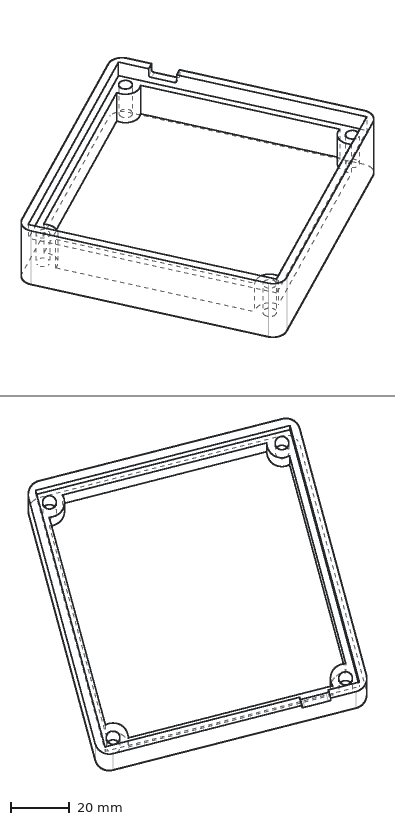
import cadquery as cq

length_x = 95.6
length_y = 99.1
height = 23.6
corner_radius = 5.0

rim_wall = 3.0
ledge_width = 2.5
recess_depth = 5.9
floor_thickness = 5.2
cavity_wall = rim_wall + ledge_width
ledge_height = height - recess_depth

screw_inset = 6.8
boss_radius = 5.2
screw_diameter = 4.7
screw_depth = ledge_height - floor_thickness

notch_start = 13.9
notch_width = 10.1
notch_depth = 3.6
notch_radius = 0.9


def centred_block(wall, bottom, top):
    """Block inset from the outer sides by the wall, between two heights."""
    block = cq.Workplane("XY").workplane(offset=bottom)
    return block.rect(length_x - 2 * wall, length_y - 2 * wall).extrude(top - bottom)


def at_screws(z):
    """Workplane at a height, with a point at each screw position."""
    plane = cq.Workplane("XY").workplane(offset=z)
    return plane.rect(length_x - 2 * screw_inset, length_y - 2 * screw_inset, forConstruction=True).vertices()


def make_cavity():
    """Space below the ledge, leaving the corner bosses standing."""
    cavity = centred_block(cavity_wall, floor_thickness, ledge_height)
    bosses = at_screws(floor_thickness).circle(boss_radius).extrude(ledge_height - floor_thickness)
    return cavity.cut(bosses)


def make_notch():
    """Open-topped slot through the rear rim wall."""
    centre_x = -length_x / 2 + notch_start + notch_width / 2
    centre_y = length_y / 2 - rim_wall / 2
    notch = cq.Workplane("XY").box(notch_width, rim_wall, notch_depth)
    notch = notch.edges("|Y and <Z").fillet(notch_radius)
    return notch.translate((centre_x, centre_y, height - notch_depth / 2))


body = centred_block(0, 0, height).edges("|Z").fillet(corner_radius)
lid_recess = centred_block(rim_wall, ledge_height, height)
screw_holes = at_screws(ledge_height).circle(screw_diameter / 2).extrude(-screw_depth)

result = body.cut(lid_recess).cut(make_cavity()).cut(screw_holes).cut(make_notch())